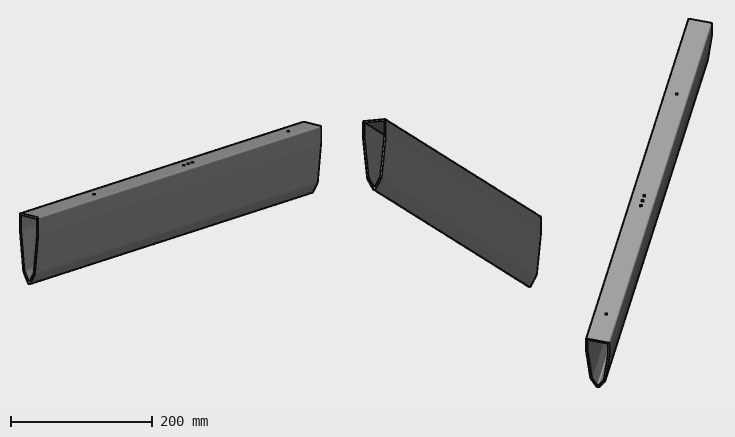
import cadquery as cq
import math

length = 609.6
width = 34.92
height = 101.59
wall = 2.9

straight_depth = 25.4
knee_half_width = 11.15
nose_angle = math.radians(60.3)

back_radius = 2.5
shoulder_radius = 20.0
knee_radius = 12.7
nose_radius = 2.5
inner_nose_radius = 1.6

hole_diameter = 3.175
hole_pitch = 9.525
hole_group_y = 38.1
hole_group_count = 3
end_hole_ys = (254.0, -165.1)
hole_cut_depth = 2 * wall

half_width = width / 2
nose_depth = height + nose_radius * (1 / math.cos(nose_angle) - 1)
knee_depth = nose_depth - knee_half_width * math.tan(nose_angle)


def prism(outline):
    """Extrude a closed XZ outline along the whole length, centred on Y = 0."""
    return outline.extrude(length / 2, both=True)


def sharp_outline():
    return (
        cq.Workplane("XZ")
        .moveTo(-half_width, 0)
        .lineTo(half_width, 0)
        .lineTo(half_width, -straight_depth)
        .lineTo(knee_half_width, -knee_depth)
        .lineTo(0, -nose_depth)
        .lineTo(-knee_half_width, -knee_depth)
        .lineTo(-half_width, -straight_depth)
        .close()
    )


def round_pair(body, x, z, radius):
    """Round the two lengthwise edges at (+x, z) and (-x, z)."""
    for side in (-1, 1):
        body = body.edges(cq.selectors.NearestToPointSelector((side * x, 0, z))).fillet(radius)
    return body


def round_nose(body, radius):
    """Round the lengthwise edge at the tip of the nose."""
    return body.edges(cq.selectors.NearestToPointSelector((0, 0, -nose_depth))).fillet(radius)


def round_bends(body, inset):
    """Round the shoulders and knees of a body lying `inset` inside the outer surface."""
    body = round_pair(body, half_width - inset, -straight_depth, shoulder_radius - inset)
    return round_pair(body, knee_half_width - inset, -knee_depth, knee_radius - inset)


def make_channel():
    outer = round_bends(prism(sharp_outline()), 0)
    outer = round_pair(outer, half_width, 0, back_radius)
    outer = round_nose(outer, nose_radius)
    inner = round_bends(prism(sharp_outline().offset2D(-wall, "intersection")), wall)
    inner = round_nose(inner, inner_nose_radius)
    return outer.cut(inner)


def make_holes():
    middle = (hole_group_count - 1) / 2
    ys = [hole_group_y + (i - middle) * hole_pitch for i in range(hole_group_count)]
    ys.extend(end_hole_ys)
    return (
        cq.Workplane("XY")
        .pushPoints([(0, y) for y in ys])
        .circle(hole_diameter / 2)
        .extrude(-hole_cut_depth)
    )


result = make_channel().cut(make_holes())